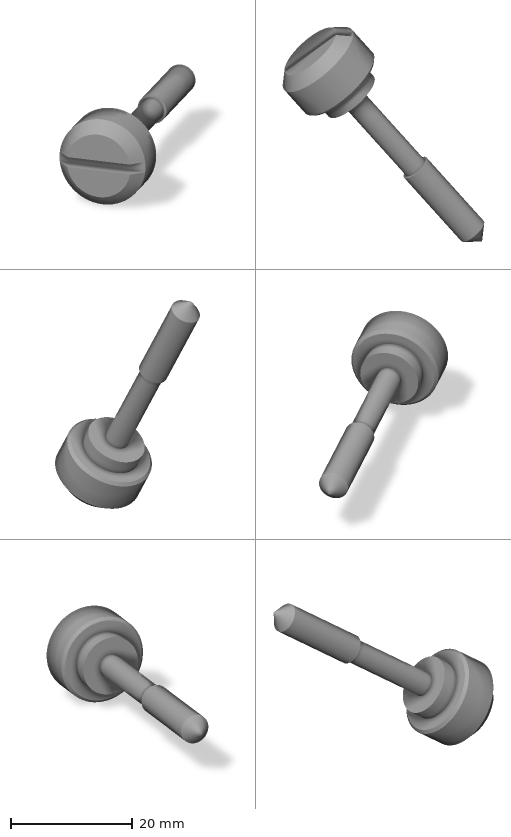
import cadquery as cq

TOTAL_LENGTH = 45.0

HEAD_DIAMETER = 15.0
HEAD_LENGTH = 8.0
HEAD_BEVEL = 2.0
HEAD_REAR_CHAMFER = 0.5
SLOT_WIDTH = 1.8
SLOT_DEPTH = HEAD_BEVEL

COLLAR_DIAMETER = 10.0
COLLAR_LENGTH = 1.9
RING_THICKNESS = 0.8

NECK_DIAMETER = 4.0
END_DIAMETER = 5.0
END_LENGTH = 17.5
CONE_LENGTH = END_DIAMETER / 2

collar_end_y = HEAD_LENGTH + COLLAR_LENGTH
end_start_y = TOTAL_LENGTH - END_LENGTH


def make_screw_blank():
    """Revolve the half profile of the screw about the Y axis."""
    head_radius = HEAD_DIAMETER / 2
    collar_radius = COLLAR_DIAMETER / 2
    neck_radius = NECK_DIAMETER / 2
    end_radius = END_DIAMETER / 2
    profile = [
        (0, 0),
        (head_radius - HEAD_BEVEL, 0),
        (head_radius, HEAD_BEVEL),
        (head_radius, HEAD_LENGTH - HEAD_REAR_CHAMFER),
        (head_radius - HEAD_REAR_CHAMFER, HEAD_LENGTH),
        (collar_radius, HEAD_LENGTH),
        (collar_radius, collar_end_y),
        (neck_radius, collar_end_y),
        (neck_radius, end_start_y),
        (end_radius, end_start_y),
        (end_radius, TOTAL_LENGTH - CONE_LENGTH),
        (0, TOTAL_LENGTH),
    ]
    return cq.Workplane("XY").polyline(profile).close().revolve(360, (0, 0, 0), (0, 1, 0))


def make_slot_cutter():
    """Bar that cuts the driver slot across the full head along X."""
    return cq.Workplane("XY").box(
        HEAD_DIAMETER, SLOT_DEPTH, SLOT_WIDTH, centered=(True, False, True)
    )


def make_screw():
    return make_screw_blank().cut(make_slot_cutter())


def make_ring():
    """Flat ring around the neck, seated on the end of the collar."""
    return (
        cq.Workplane("XZ", origin=(0, collar_end_y, 0))
        .circle(COLLAR_DIAMETER / 2)
        .circle(NECK_DIAMETER / 2)
        .extrude(-RING_THICKNESS)
    )


screw = make_screw()
ring = make_ring()

result = cq.Compound.makeCompound([screw.val(), ring.val()])